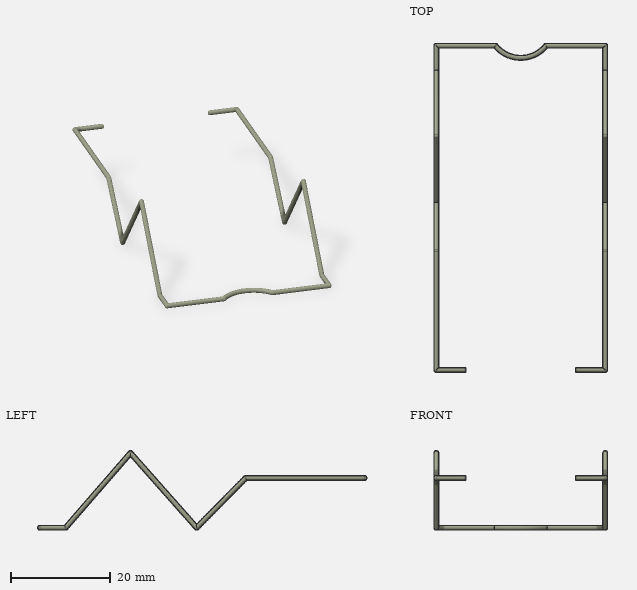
import cadquery as cq
import math

WIRE_DIAMETER = 1.0
OUTER_WIDTH = 35.0
OUTER_LENGTH = 66.25
OUTER_HEIGHT = 16.0

FOOT_BEND_Y = 27.5
PEAK_Y = 14.45
VALLEY_Y = 1.1
ARM_BEND_Y = -8.75
ARM_Z = 10.0

TIP_LENGTH = 6.5
TIP_FILLET = 0.25

BOW_HALF_SPAN = 5.1
BOW_DEPTH = 2.45

wire_radius = WIRE_DIAMETER / 2
leg_x = OUTER_WIDTH / 2 - wire_radius
bar_y = OUTER_LENGTH / 2 - wire_radius
tip_x = OUTER_WIDTH / 2 - TIP_LENGTH
peak_z = OUTER_HEIGHT - WIRE_DIAMETER


def leg_points(side):
    """Centreline points of one half, from its free tip to the bow; side is -1 or +1."""
    return [
        cq.Vector(side * tip_x, -bar_y, ARM_Z),
        cq.Vector(side * leg_x, -bar_y, ARM_Z),
        cq.Vector(side * leg_x, ARM_BEND_Y, ARM_Z),
        cq.Vector(side * leg_x, VALLEY_Y, 0),
        cq.Vector(side * leg_x, PEAK_Y, peak_z),
        cq.Vector(side * leg_x, FOOT_BEND_Y, 0),
        cq.Vector(side * leg_x, bar_y, 0),
        cq.Vector(side * BOW_HALF_SPAN, bar_y, 0),
    ]


def straight_rod(start, end):
    """Round rod between two centreline points."""
    run = end - start
    return cq.Workplane(obj=cq.Solid.makeCylinder(wire_radius, run.Length, start, run))


def tip_rod(tip, bend):
    """Rod whose free end has a rounded rim."""
    return straight_rod(tip, bend).edges(cq.NearestToPointSelector(tip.toTuple())).fillet(TIP_FILLET)


def joint_ball(center):
    """Ball that rounds the outside of a bend."""
    return cq.Workplane("XY").sphere(wire_radius).translate(center)


def leg(side):
    """Rods of one half of the clip, with a ball at every bend."""
    points = leg_points(side)
    body = tip_rod(points[0], points[1])
    for start, end in zip(points[1:], points[2:]):
        body = body.union(straight_rod(start, end))
    for bend in points[1:]:
        body = body.union(joint_ball(bend))
    return body


def bow():
    """Arc of wire that dips toward -Y between the two halves of the cross bar."""
    arc_radius = (BOW_HALF_SPAN**2 + BOW_DEPTH**2) / (2 * BOW_DEPTH)
    start_angle = math.asin(BOW_HALF_SPAN / arc_radius)
    start_plane = cq.Plane(
        origin=(-BOW_HALF_SPAN, bar_y, 0),
        xDir=(0, 0, 1),
        normal=(math.cos(start_angle), -math.sin(start_angle), 0),
    )
    path = (
        cq.Workplane("XY")
        .moveTo(-BOW_HALF_SPAN, bar_y)
        .threePointArc((0, bar_y - BOW_DEPTH), (BOW_HALF_SPAN, bar_y))
    )
    return cq.Workplane(start_plane).circle(wire_radius).sweep(path)


result = bow().union(leg(-1)).union(leg(1))